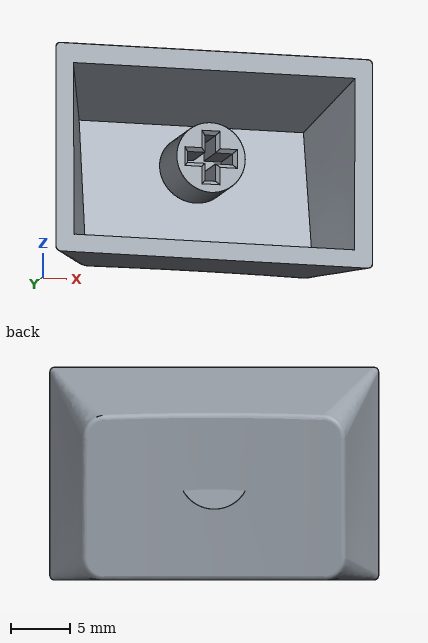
import cadquery as cq
import math

rim_width = 27.8
rim_height = 18.0
rim_radius = 0.42
cap_width = 22.03
cap_radius = 1.95
cap_top_z = 4.73
cap_top_y = 8.82
cap_slope = 0.205
cap_edge_radius = 0.4
dish_radius = 111.25
dish_edge_depth = 0.03

mouth_top_width = 24.75
mouth_bottom_width = 24.58
mouth_top_z = 7.31
cavity_bottom_z = -7.48
floor_top_width = 19.7
floor_bottom_width = 19.9
floor_top_z = 3.9
floor_bottom_y = 4.85

stem_diameter = 6.0
stem_face_y = 1.0
socket_mouth_span = 4.62
socket_mouth_width = 1.6
socket_lead_in = 0.33
lead_in_depth = 0.28
socket_depth = 3.9

cap_tilt = math.degrees(math.atan(cap_slope))
rim_bottom_z = -rim_height / 2


def plane_facing_y(y, z=0.0, tilt=0.0):
    """Plane with local x along X and local y along Z, leaning toward +Y by tilt degrees."""
    lean = math.radians(tilt)
    return cq.Plane(origin=(0, y, z), xDir=(1, 0, 0), normal=(0, -math.cos(lean), math.sin(lean)))


def cap_plane():
    middle_z = (cap_top_z + rim_bottom_z) / 2
    middle_y = cap_top_y - cap_slope * (cap_top_z - middle_z)
    return plane_facing_y(middle_y, middle_z, cap_tilt)


def rounded_wire(plane, width, height, radius):
    """Rounded rectangle whose edges all start at the same corner."""
    half_x = width / 2
    half_y = height / 2
    inset = radius * (1 - math.sqrt(0.5))
    return (
        cq.Workplane(plane)
        .moveTo(radius - half_x, -half_y)
        .lineTo(half_x - radius, -half_y)
        .threePointArc((half_x - inset, inset - half_y), (half_x, radius - half_y))
        .lineTo(half_x, half_y - radius)
        .threePointArc((half_x - inset, half_y - inset), (half_x - radius, half_y))
        .lineTo(radius - half_x, half_y)
        .threePointArc((inset - half_x, half_y - inset), (-half_x, half_y - radius))
        .lineTo(-half_x, radius - half_y)
        .threePointArc((inset - half_x, inset - half_y), (radius - half_x, -half_y))
        .close()
        .val()
    )


def ruled_solid(wires):
    return cq.Workplane(obj=cq.Solid.makeLoft(wires, True))


def make_body():
    """Tapered shell with a tilted cap, dished by a cylinder running along the tilt."""
    cap_length = (cap_top_z - rim_bottom_z) / math.cos(math.radians(cap_tilt))
    body = ruled_solid([
        rounded_wire(plane_facing_y(0), rim_width, rim_height, rim_radius),
        rounded_wire(cap_plane(), cap_width, cap_length, cap_radius),
    ])
    edge_sag = dish_radius - math.sqrt(dish_radius**2 - (cap_width / 2) ** 2)
    axis_offset = dish_radius - edge_sag - dish_edge_depth
    face = cap_plane()
    dish_start = face.origin - face.zDir * axis_offset - face.yDir * rim_height
    dish = cq.Solid.makeCylinder(dish_radius, 2 * rim_height, dish_start, face.yDir)
    dished = body.cut(cq.Workplane(obj=dish))
    return dished.faces("%CYLINDER").faces(">Y").edges().fillet(cap_edge_radius)


def floor_y(z):
    """Cavity floor position, parallel to the cap."""
    return floor_bottom_y + cap_slope * (z - cavity_bottom_z)


def trapezoid_wire(top_width, bottom_width, top_z, top_y, bottom_y):
    corners = [
        (-bottom_width / 2, bottom_y, cavity_bottom_z),
        (bottom_width / 2, bottom_y, cavity_bottom_z),
        (top_width / 2, top_y, top_z),
        (-top_width / 2, top_y, top_z),
    ]
    return cq.Wire.makePolygon([cq.Vector(*corner) for corner in corners], close=True)


def make_cavity():
    mouth = trapezoid_wire(mouth_top_width, mouth_bottom_width, mouth_top_z, 0, 0)
    floor = trapezoid_wire(
        floor_top_width, floor_bottom_width, floor_top_z, floor_y(floor_top_z), floor_bottom_y
    )
    return ruled_solid([mouth, floor])


def cross_wire(y, span, width):
    tip = span / 2
    side = width / 2
    arm = [(side, side), (side, tip), (-side, tip)]
    points = []
    for quarter in range(4):
        for x, z in arm:
            for _ in range(quarter):
                x, z = -z, x
            points.append(cq.Vector(x, y, z))
    return cq.Wire.makePolygon(points, close=True)


def make_socket():
    """Cross-shaped hole with a sloped lead-in at its mouth."""
    inner_span = socket_mouth_span - 2 * socket_lead_in
    inner_width = socket_mouth_width - 2 * socket_lead_in
    throat_y = stem_face_y + lead_in_depth
    lead_in = ruled_solid([
        cross_wire(stem_face_y, socket_mouth_span, socket_mouth_width),
        cross_wire(throat_y, inner_span, inner_width),
    ])
    straight = ruled_solid([
        cross_wire(throat_y, inner_span, inner_width),
        cross_wire(stem_face_y + socket_depth, inner_span, inner_width),
    ])
    return lead_in.union(straight)


def make_stem():
    """Pin reaching from its face into the material behind the cavity floor."""
    length = floor_y(stem_diameter / 2) - stem_face_y
    return cq.Workplane(plane_facing_y(stem_face_y)).circle(stem_diameter / 2).extrude(-length)


result = make_body().cut(make_cavity()).union(make_stem()).cut(make_socket())